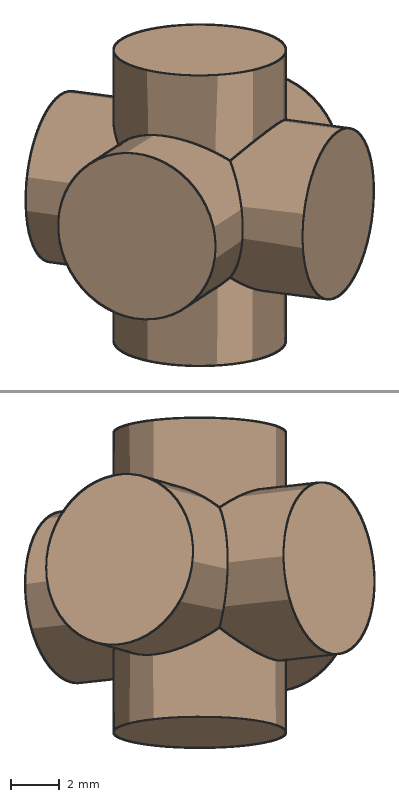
import cadquery as cq

LENGTH = 12.5
DIAMETER = 7.1


def centred_bar(plane):
    """Round bar centred on the origin, along the normal of the plane."""
    return cq.Workplane(plane).circle(DIAMETER / 2).extrude(LENGTH / 2, both=True)


result = centred_bar("YZ").union(centred_bar("XZ")).union(centred_bar("XY"))